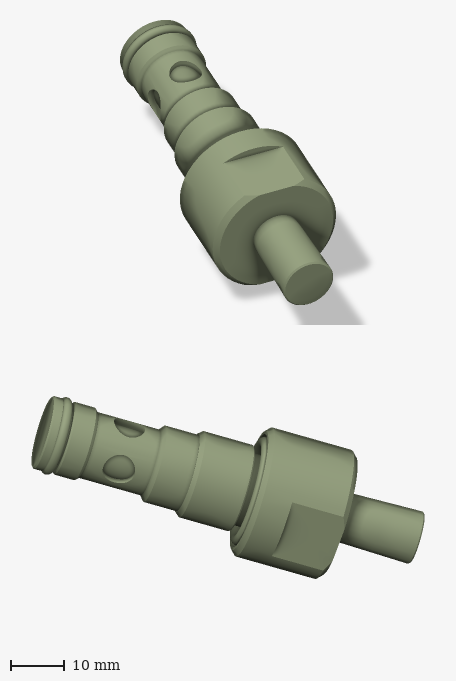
import cadquery as cq

total_length = 73.4
nose_groove_start = 1.75
nose_groove_end = 4.05
nose_land_end = 8.2
waist_start = 8.9
port_x = 15.0
waist_end = 21.1
middle_land_start = 21.95
middle_land_end = 28.3
large_land_start = 29.2
neck_start = 39.05
head_start = 40.5
flat_start = 47.0
head_end = 58.05

nose_radius = 7.05
nose_groove_radius = 5.6
waist_radius = 6.4
middle_land_radius = 7.4
shoulder_radius = 7.6
large_land_radius = 8.4
neck_radius = 7.0
head_diameter = 25.0
head_radius = head_diameter / 2
face_groove_radius = 10.9
stem_root_radius = 4.7
stem_tip_radius = 5.1

small_chamfer = 0.3
neck_root_chamfer = 0.15
head_chamfer = 0.95
head_back_chamfer = 1.0

flat_height = 10.9
port_diameter = 6.1
port_radius = port_diameter / 2
port_core_radius = 5.15

nose_ring_outer_radius = 7.5
nose_ring_section_radius = 0.95
nose_ring_x = 2.7
face_ring_outer_radius = 10.5
face_ring_section_radius = 1.1
face_ring_x = 40.95

face_groove_bottom = face_ring_x + face_ring_section_radius


def turned_blank():
    """Revolve the half profile, given as (x, radius), about the X axis."""
    profile = [
        (0, 0),
        (0, nose_radius - small_chamfer),
        (small_chamfer, nose_radius),
        (nose_groove_start, nose_radius),
        (nose_groove_start, nose_groove_radius),
        (nose_groove_end, nose_groove_radius),
        (nose_groove_end, nose_radius - small_chamfer),
        (nose_groove_end + small_chamfer, nose_radius),
        (nose_land_end, nose_radius),
        (waist_start, waist_radius),
        (waist_end, waist_radius),
        (middle_land_start, middle_land_radius),
        (middle_land_end, middle_land_radius),
        (middle_land_end, shoulder_radius),
        (large_land_start, large_land_radius),
        (neck_start - small_chamfer, large_land_radius),
        (neck_start, large_land_radius - small_chamfer),
        (neck_start, neck_radius + neck_root_chamfer),
        (neck_start + neck_root_chamfer, neck_radius),
        (face_groove_bottom, neck_radius),
        (face_groove_bottom, face_groove_radius),
        (head_start, face_groove_radius),
        (head_start, head_radius - head_chamfer),
        (head_start + head_chamfer, head_radius),
        (head_end - head_back_chamfer, head_radius),
        (head_end, head_radius - head_back_chamfer),
        (head_end, stem_root_radius),
        (total_length - small_chamfer, stem_tip_radius),
        (total_length, stem_tip_radius - small_chamfer),
        (total_length, 0),
    ]
    return cq.Workplane("XY").polyline(profile).close().revolve(360, (0, 0, 0), (1, 0, 0))


def wrench_flat_cutter(side):
    """Block removing everything beyond the flat on the +Z (1) or -Z (-1) side."""
    thickness = head_radius
    return (
        cq.Workplane("XY")
        .box(head_end - flat_start, 2 * head_radius, thickness)
        .translate(((flat_start + head_end) / 2, 0, side * (flat_height + thickness / 2)))
    )


def port_cutter():
    """Two crossing drillings through the waist, stopping at the round core."""
    drill_length = 2 * large_land_radius
    cutter = cq.Workplane("XY").center(port_x, 0).circle(port_radius).extrude(drill_length / 2, both=True)
    cutter = cutter.union(
        cq.Workplane("XZ").center(port_x, 0).circle(port_radius).extrude(drill_length / 2, both=True)
    )
    core = cq.Workplane("YZ").workplane(offset=waist_start).circle(port_core_radius)
    return cutter.cut(core.extrude(waist_end - waist_start))


def make_valve_body():
    body = turned_blank().cut(port_cutter())
    for side in (1, -1):
        body = body.cut(wrench_flat_cutter(side))
    return body


def make_o_ring(x, outer_radius, section_radius):
    """Torus of circular section, centred on the X axis."""
    return (
        cq.Workplane("XY")
        .center(x, outer_radius - section_radius)
        .circle(section_radius)
        .revolve(360, (0, section_radius - outer_radius, 0), (1, section_radius - outer_radius, 0))
    )


valve_body = make_valve_body()
nose_o_ring = make_o_ring(nose_ring_x, nose_ring_outer_radius, nose_ring_section_radius)
face_o_ring = make_o_ring(face_ring_x, face_ring_outer_radius, face_ring_section_radius)

result = cq.Compound.makeCompound([valve_body.val(), nose_o_ring.val(), face_o_ring.val()])